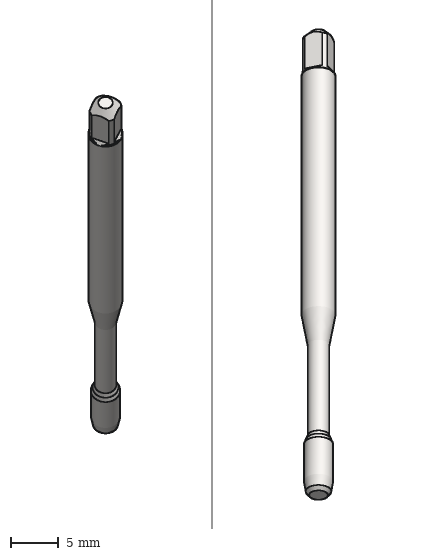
import cadquery as cq

total_length = 56.2
shank_diameter = 3.6
neck_diameter = 2.3
core_diameter = 2.7
thread_diameter = 3.1
tip_diameter = 1.95

tip_chamfer_top = 0.45
thread_lead_top = 1.7
thread_top = 6.2
core_top = 6.7
neck_bottom = 7.2
neck_top = 18.2
shank_bottom = 21.9
shank_top = 50.9

square_across_flats = 2.8
square_corner_diameter = 3.45
square_end_diameter = 1.5
square_end_cone_height = 0.95
square_bottom = 51.05
flat_bottom = 51.3


def revolve_profile(stations):
    """Revolve a solid about Z from (diameter, height) stations."""
    outline = [(diameter / 2, height) for diameter, height in stations]
    outline = [(0, stations[0][1])] + outline + [(0, stations[-1][1])]
    return cq.Workplane("XZ").polyline(outline).close().revolve(360, (0, 0, 0), (0, 1, 0))


def make_turned_body():
    """Core, neck, shank and round blank of the driving square."""
    return revolve_profile([
        (tip_diameter, 0),
        (core_diameter, tip_chamfer_top),
        (core_diameter, core_top),
        (neck_diameter, neck_bottom),
        (neck_diameter, neck_top),
        (shank_diameter, shank_bottom),
        (shank_diameter, shank_top),
        (square_corner_diameter, square_bottom),
        (square_corner_diameter, total_length - square_end_cone_height),
        (square_end_diameter, total_length),
    ])


def make_flat_cutter():
    """Cutter for the flat on the +X side, with a 45 degree runout into the shank."""
    flat_distance = square_across_flats / 2
    outer_distance = shank_diameter
    section = [
        (flat_distance, total_length),
        (flat_distance, flat_bottom),
        (outer_distance, flat_bottom - (outer_distance - flat_distance)),
        (outer_distance, total_length),
    ]
    return cq.Workplane("XZ").polyline(section).close().extrude(shank_diameter, both=True)


def make_tap_body():
    """Turned body with four flats cut into its upper end."""
    body = make_turned_body()
    flat_cutter = make_flat_cutter()
    for side in range(4):
        body = body.cut(flat_cutter.rotate((0, 0, 0), (0, 0, 1), 90 * side))
    return body


def make_thread_sleeve():
    """Plain thread envelope around the core, tapered at both ends to the core diameter."""
    core_radius = core_diameter / 2
    thread_radius = thread_diameter / 2
    section = [
        (core_radius, tip_chamfer_top),
        (thread_radius, thread_lead_top),
        (thread_radius, thread_top),
        (core_radius, core_top),
    ]
    return cq.Workplane("XZ").polyline(section).close().revolve(360, (0, 0, 0), (0, 1, 0))


tap_body = make_tap_body()
thread_sleeve = make_thread_sleeve()
result = cq.Compound.makeCompound([tap_body.val(), thread_sleeve.val()])